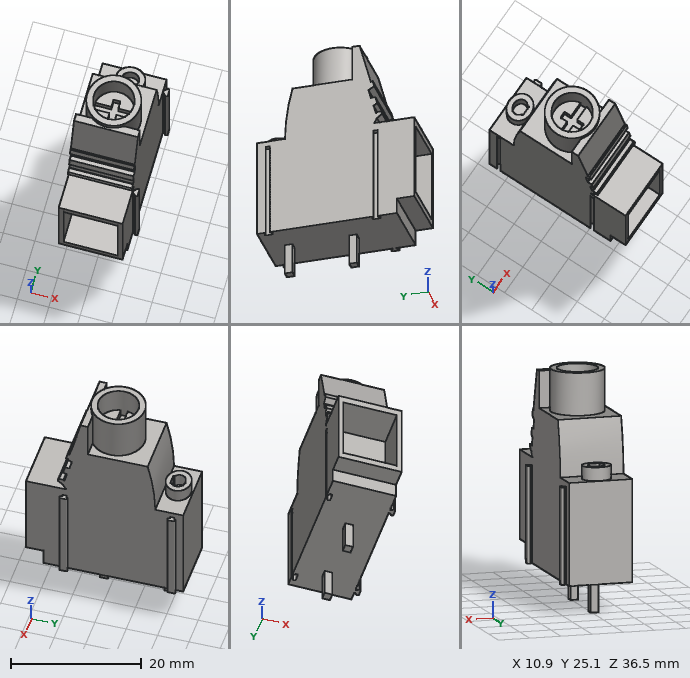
import cadquery as cq


width = 10.15
back_y = 11.83
front_y = -13.25
rear_deck_z = 16.1
front_deck_z = 16.55
front_step_y = -10.48
front_step_z = 2.55

tower_top_z = 24.85
tower_back_top_y = 6.17
tower_back_middle_y, tower_back_middle_z = 7.05, 20.48
tower_back_foot_y = 7.37

guard_top_z = 30.65
guard_back_y = -3.35
guard_front_y = -4.53

upper_rib = [(-6.3, 23.98), (-6.6, 24.05), (-6.85, 23.05), (-5.95, 22.52)]
middle_rib = [(-6.3, 21.1), (-7.05, 21.1), (-7.35, 20.0), (-6.75, 19.65)]
lip_root = (-7.1, 18.3)
lip_shoulder = (-7.25, 18.45)
lip_top = (-7.95, 18.45)
lip_nose = (-8.15, 18.25)
lip_bottom = (-8.15, 18.0)
lip_bend = (-7.3, 17.35)
lip_foot_y = -6.85

tube_radius = 4.2
tube_top_z = 31.5
bore_radius = 3.18

entry_width = 8.58
entry_bottom_z = 3.72
entry_top_z = 15.3
entry_depth = 5.75

boss_y = 9.6
boss_half_x = 2.25
boss_half_y = 1.97
boss_height = 2.08
pocket_half_x = 1.3
pocket_half_y = 1.1
key_width = 1.68

joint_ys = (10.1, -7.08)
joint_top_z = 15.22
joint_depth = 0.8
joint_neck_width = 0.65
joint_neck_depth = 0.2
joint_head_width = 1.28
joint_head_depth = 0.47
joint_corner_radius = 0.22

screw_top_z = 27.5
slot_width = 1.1
short_slot_length = 3.55
slot_depth = 1.1

pin_ys = (8.1, -2.15)
pin_size = 1.25
pin_length = 5.0


def make_profile():
    """Side outline of block, tower and guard, extruded over the full width."""
    outline = (
        cq.Workplane("YZ")
        .moveTo(back_y, 0)
        .lineTo(back_y, rear_deck_z)
        .lineTo(tower_back_foot_y, rear_deck_z)
        .threePointArc((tower_back_middle_y, tower_back_middle_z), (tower_back_top_y, tower_top_z))
        .lineTo(guard_back_y, tower_top_z)
        .lineTo(guard_back_y, guard_top_z)
        .lineTo(guard_front_y, guard_top_z)
    )
    for point in upper_rib + middle_rib + [lip_root, lip_shoulder, lip_top]:
        outline = outline.lineTo(*point)
    outline = (
        outline.threePointArc(lip_nose, lip_bottom)
        .lineTo(*lip_bend)
        .lineTo(lip_foot_y, front_deck_z)
        .lineTo(front_y, front_deck_z)
        .lineTo(front_y, front_step_z)
        .lineTo(front_step_y, front_step_z)
        .lineTo(front_step_y, 0)
        .close()
    )
    return outline.extrude(width / 2, both=True)


def make_cylinder(radius, top_z):
    """Cylinder on the screw axis, from the top of the tower up to top_z."""
    return cq.Workplane("XY").workplane(offset=tower_top_z).circle(radius).extrude(top_z - tower_top_z)


def make_entry():
    """Rectangular wire pocket in the front face."""
    entry_height = entry_top_z - entry_bottom_z
    return (
        cq.Workplane("XY")
        .box(entry_width, entry_depth, entry_height, centered=(True, False, False))
        .translate((0, front_y, entry_bottom_z))
    )


def make_boss():
    """Oval boss with its pocket, an oval squared off on the -Y side."""
    deck = cq.Workplane("XY").workplane(offset=rear_deck_z).center(0, boss_y)
    boss = deck.ellipse(boss_half_x, boss_half_y).extrude(boss_height)
    pocket = deck.ellipse(pocket_half_x, pocket_half_y).extrude(boss_height)
    key = deck.center(0, -pocket_half_y / 2).rect(key_width, pocket_half_y).extrude(boss_height)
    return boss.cut(pocket).cut(key)


def make_joint(side_x, y):
    """Flared bar with a narrow neck that reaches from the plane x = side_x toward +X."""
    neck = joint_neck_width / 2
    head = joint_head_width / 2
    return (
        cq.Workplane("XY")
        .polyline(
            [
                (side_x, y - neck),
                (side_x + joint_neck_depth, y - neck),
                (side_x + joint_head_depth, y - head),
                (side_x + joint_depth, y - head),
                (side_x + joint_depth, y + head),
                (side_x + joint_head_depth, y + head),
                (side_x + joint_neck_depth, y + neck),
                (side_x, y + neck),
            ]
        )
        .close()
        .extrude(joint_top_z)
        .edges("|Z and >X")
        .fillet(joint_corner_radius)
    )


def make_housing():
    """Block with the screw tube, wire entry, boss, ridges and grooves."""
    tube = make_cylinder(tube_radius, tube_top_z)
    bore = make_cylinder(bore_radius, tube_top_z)
    housing = make_profile().union(tube).cut(bore).cut(make_entry()).union(make_boss())
    for y in joint_ys:
        ridge = make_joint(width / 2, y)
        groove = make_joint(-width / 2, y)
        housing = housing.union(ridge).cut(groove)
    return housing


def make_screw():
    """Screw that fills the bore up to screw_top_z, with a cross of two slots in its head."""
    slot_floor_z = screw_top_z - slot_depth
    slot_plane = cq.Workplane("XY").workplane(offset=slot_floor_z)
    long_slot = slot_plane.rect(2 * bore_radius, slot_width).extrude(slot_depth)
    short_slot = slot_plane.rect(slot_width, short_slot_length).extrude(slot_depth)
    body = make_cylinder(bore_radius, screw_top_z)
    return body.cut(long_slot).cut(short_slot)


def make_pin(y):
    """Square solder pin that hangs from the underside of the housing."""
    return cq.Workplane("XY").center(0, y).rect(pin_size, pin_size).extrude(-pin_length)


housing = make_housing()
screw = make_screw()
pins = [make_pin(y) for y in pin_ys]

result = cq.Compound.makeCompound([housing.val(), screw.val(), *[pin.val() for pin in pins]])